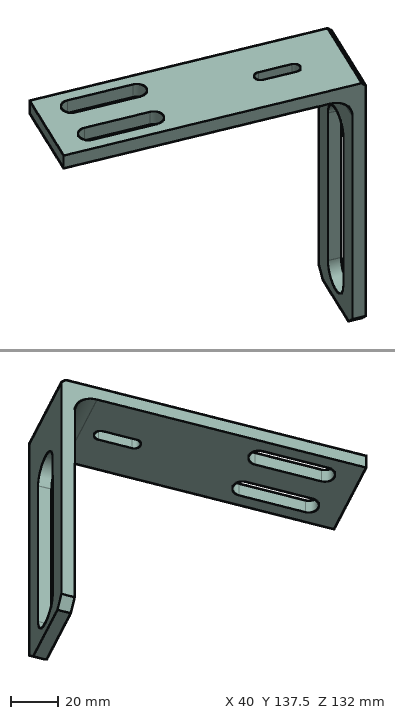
import cadquery as cq

width = 40.0
depth = 137.5
height = 132.0

shelf_thickness = 7.0
leg_thickness = 6.0
inner_radius = 10.0
outer_chamfer = 1.9
foot_chamfer = 5.0

leg_slot_width = 18.0
leg_slot_length = 98.2
leg_slot_foot_gap = 6.0

narrow_slot_width = 5.5
narrow_slot_length = 20.8
narrow_slot_back_gap = 22.1

pair_slot_width = 8.7
pair_slot_length = 38.5
pair_slot_front_gap = 10.7
pair_slot_spacing = 20.0

leg_front = depth - leg_thickness
shelf_bottom = height - shelf_thickness


def make_body():
    """L profile extruded across the width, with its edges finished."""
    profile = [
        (0, height),
        (depth, height),
        (depth, 0),
        (leg_front, 0),
        (leg_front, shelf_bottom),
        (0, shelf_bottom),
    ]
    body = cq.Workplane("YZ").polyline(profile).close().extrude(width / 2, both=True)
    inner_corner = cq.selectors.NearestToPointSelector((0, leg_front, shelf_bottom))
    body = body.edges("|X").edges(inner_corner).fillet(inner_radius)
    body = body.edges("|X and >Y and >Z").chamfer(outer_chamfer)
    return body.faces("<Z").edges("|Y").chamfer(foot_chamfer)


def shelf_slot(x, y, length, slot_width):
    """Cutter for a slot along Y through the shelf, centred at (x, y)."""
    return (
        cq.Workplane("XY", origin=(x, y, shelf_bottom))
        .slot2D(length, slot_width, 90)
        .extrude(shelf_thickness)
    )


def leg_slot():
    """Cutter for the vertical slot through the leg."""
    center_z = leg_slot_foot_gap + leg_slot_length / 2
    return (
        cq.Workplane("XZ", origin=(0, depth, center_z))
        .slot2D(leg_slot_length, leg_slot_width, 90)
        .extrude(leg_thickness)
    )


result = make_body().cut(leg_slot())

narrow_slot_y = depth - narrow_slot_back_gap - narrow_slot_length / 2
result = result.cut(shelf_slot(0, narrow_slot_y, narrow_slot_length, narrow_slot_width))

pair_slot_y = pair_slot_front_gap + pair_slot_length / 2
for side in (-1, 1):
    slot_x = side * pair_slot_spacing / 2
    result = result.cut(shelf_slot(slot_x, pair_slot_y, pair_slot_length, pair_slot_width))